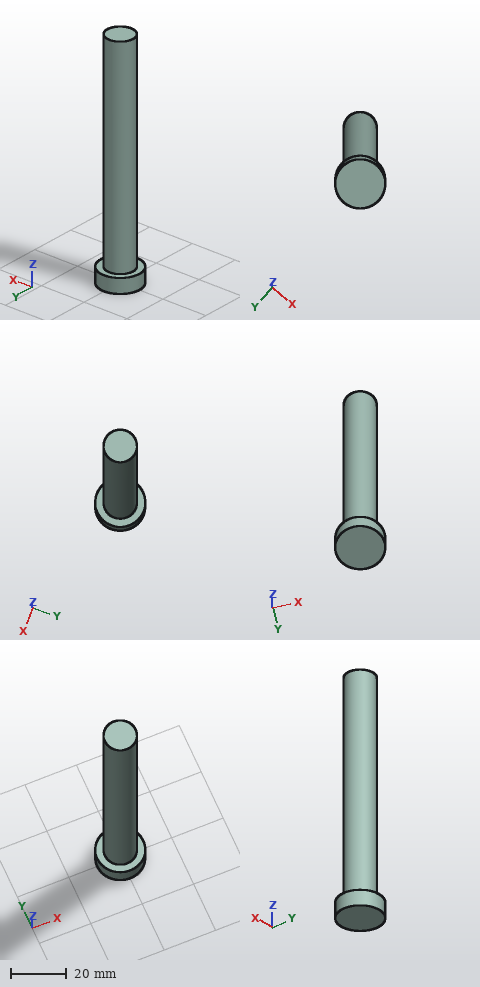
import cadquery as cq

total_length = 100.0
head_diameter = 18.0
head_height = 6.5
shank_diameter = 12.0
shank_length = total_length - head_height

head = cq.Workplane("XY").circle(head_diameter / 2).extrude(head_height)

result = head.faces(">Z").workplane().circle(shank_diameter / 2).extrude(shank_length)